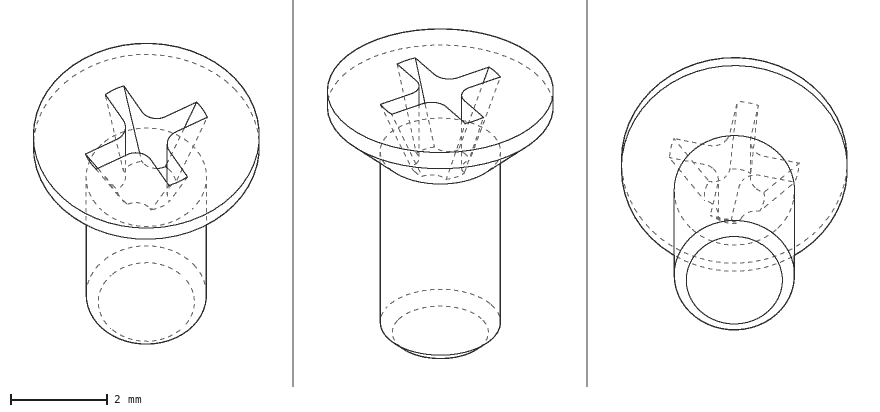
import cadquery as cq

length = 6.0
head_diameter = 4.7
shank_diameter = 2.5
head_rim_height = 0.4
tip_chamfer = 0.25

recess_depth = 1.8
recess_top_radius = 1.35
recess_floor_radius = 0.625
arm_width = 0.445
arm_corner_radius = 0.36

head_radius = head_diameter / 2
shank_radius = shank_diameter / 2
rim_bottom = length - head_rim_height
head_bottom = rim_bottom - (head_radius - shank_radius)


def make_body():
    """Revolve the half profile of the head, shank and chamfered tip."""
    return (
        cq.Workplane("XZ")
        .moveTo(0, 0)
        .lineTo(shank_radius - tip_chamfer, 0)
        .lineTo(shank_radius, tip_chamfer)
        .lineTo(shank_radius, head_bottom)
        .lineTo(head_radius, rim_bottom)
        .lineTo(head_radius, length)
        .lineTo(0, length)
        .close()
        .revolve(360, (0, 0), (0, 1))
    )


def make_recess():
    """Cross with rounded inner corners, its arm ends tapered by a cone."""
    recess_floor = length - recess_depth
    arm_length = 2 * recess_top_radius
    floor_plane = cq.Workplane("XY").workplane(offset=recess_floor)
    arm_x = floor_plane.rect(arm_length, arm_width).extrude(recess_depth)
    arm_y = floor_plane.rect(arm_width, arm_length).extrude(recess_depth)

    inner_corners = cq.selectors.BoxSelector(
        (-arm_width, -arm_width, recess_floor),
        (arm_width, arm_width, length),
    )
    cross = arm_x.union(arm_y).edges("|Z").edges(inner_corners).fillet(arm_corner_radius)

    taper = (
        floor_plane.circle(recess_floor_radius)
        .workplane(offset=recess_depth)
        .circle(recess_top_radius)
        .loft(ruled=True)
    )
    return cross.intersect(taper)


result = make_body().cut(make_recess())